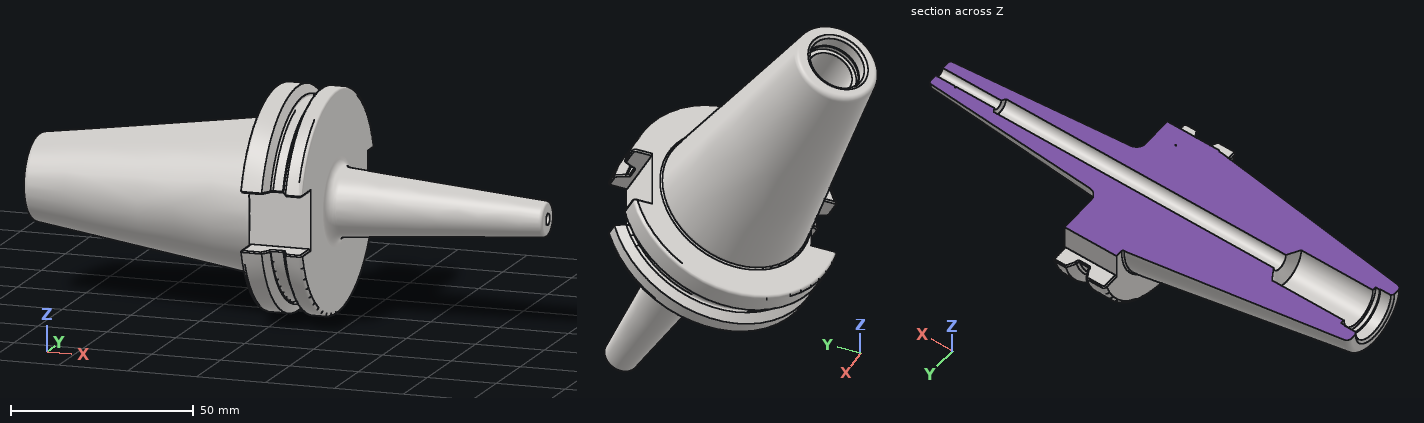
import cadquery as cq
import math


GAUGE_DIA = 44.45
TAPER_RATIO = 7 / 24
TAPER_LENGTH = 68.25
TAPER_END_DIA = GAUGE_DIA - TAPER_RATIO * TAPER_LENGTH
TAPER_END_FILLET = 1.7

FLANGE_DIA = 63.5
FLANGE_START = 1.25
FLANGE_END = 19.05
FLANGE_FILLET = 1.0
FLANGE_ROOT_FILLET = 0.5
GROOVE_CENTER = 11.0
GROOVE_FLOOR_DIA = 56.4
GROOVE_FLOOR_WIDTH = 3.8
GROOVE_FLANK_INNER_DIA = 58.1
GROOVE_FLANK_ANGLE = 30
GROOVE_FLOOR_FILLET = 0.5

SLOT_WIDTH = 16.3
SLOT_FLOOR_FRONT = 22.6
SLOT_FLOOR_BACK = 25.0
SLOT_EDGE_CHAMFER = 0.45

NOSE_END = 80.0
TIP_DIA = 10.0
NOSE_HALF_ANGLE = 4.5
NOSE_ROOT_RADIUS = TIP_DIA / 2 + (NOSE_END - FLANGE_END) * math.tan(math.radians(NOSE_HALF_ANGLE))
NOSE_ROOT_FILLET = 3.0
TIP_FILLET = 1.0

MOUTH_DIA = 18.0
MOUTH_CONE_HALF_ANGLE = 60
MOUTH_CHAMFER_DIA = 16.78
COUNTERBORE_DIA = 16.28
COUNTERBORE_DEPTH = 4.1
THREAD_MAJOR_DIA = 15.875
THREAD_MAJOR_DEPTH = 5.6
THREAD_BORE_DIA = 13.39
THREAD_BORE_DEPTH = 30.0
DRILL_POINT_ANGLE = 118
COOLANT_DIA = 5.6
TOOL_BORE_DIA = 3.17
TOOL_BORE_DEPTH = 20.0

CUT_CLEARANCE = 1.0
TOLERANCE = 0.01


def revolve_profile(points):
    """Revolve a closed (x, radius) outline about the X axis."""
    return cq.Workplane("XY").polyline(points).close().revolve(360, (0, 0, 0), (1, 0, 0))


def ring_edges(body, x, radius):
    """Select the full circular edge at the given axial position and radius."""
    reach = radius + TOLERANCE
    box = cq.selectors.BoxSelector(
        (x - TOLERANCE, -reach, -reach), (x + TOLERANCE, reach, reach), boundingbox=True
    )
    return body.edges(box).filter(lambda e: abs(e.Length() - 2 * math.pi * radius) < TOLERANCE)


def make_taper():
    body = revolve_profile([
        (-TAPER_LENGTH, 0),
        (-TAPER_LENGTH, TAPER_END_DIA / 2),
        (0, GAUGE_DIA / 2),
        (FLANGE_START, GAUGE_DIA / 2),
        (FLANGE_START, 0),
    ])
    return ring_edges(body, -TAPER_LENGTH, TAPER_END_DIA / 2).fillet(TAPER_END_FILLET)


def make_groove():
    half_floor = GROOVE_FLOOR_WIDTH / 2
    floor_radius = GROOVE_FLOOR_DIA / 2
    inner_radius = GROOVE_FLANK_INNER_DIA / 2
    outer_radius = FLANGE_DIA / 2
    half_mouth = half_floor + (outer_radius - inner_radius) * math.tan(math.radians(GROOVE_FLANK_ANGLE))
    left_floor = GROOVE_CENTER - half_floor
    right_floor = GROOVE_CENTER + half_floor
    cutter = revolve_profile([
        (left_floor, floor_radius),
        (left_floor, inner_radius),
        (GROOVE_CENTER - half_mouth, outer_radius),
        (GROOVE_CENTER - half_mouth, outer_radius + CUT_CLEARANCE),
        (GROOVE_CENTER + half_mouth, outer_radius + CUT_CLEARANCE),
        (GROOVE_CENTER + half_mouth, outer_radius),
        (right_floor, inner_radius),
        (right_floor, floor_radius),
    ])
    for x in (left_floor, right_floor):
        cutter = ring_edges(cutter, x, floor_radius).fillet(GROOVE_FLOOR_FILLET)
    return cutter


def make_slot(side, floor):
    """Slot cutter on the side (-1 or +1) of Y."""
    depth = FLANGE_DIA / 2 + CUT_CLEARANCE - floor
    return cq.Workplane("XY").box(
        FLANGE_END - FLANGE_START, depth, SLOT_WIDTH, centered=(False, True, True)
    ).translate((FLANGE_START, side * (floor + depth / 2), 0))


def is_slot_rim_edge(edge):
    """True for the edges of a slot side wall, except the one along the slot floor."""
    box = edge.BoundingBox()
    in_wall = box.zlen < TOLERANCE and abs(abs(edge.Center().z) - SLOT_WIDTH / 2) < TOLERANCE
    along_floor = box.ylen < TOLERANCE and abs(edge.Center().y) < SLOT_FLOOR_BACK + TOLERANCE
    return in_wall and not along_floor


def make_flange():
    radius = FLANGE_DIA / 2
    body = cq.Workplane("YZ").workplane(offset=FLANGE_START).circle(radius).extrude(FLANGE_END - FLANGE_START)
    body = body.edges("%CIRCLE").fillet(FLANGE_FILLET)
    body = body.cut(make_groove())
    body = body.cut(make_slot(-1, SLOT_FLOOR_FRONT))
    body = body.cut(make_slot(1, SLOT_FLOOR_BACK))
    return body.edges().filter(is_slot_rim_edge).chamfer(SLOT_EDGE_CHAMFER)


def make_nose():
    body = revolve_profile([
        (FLANGE_END, 0),
        (FLANGE_END, NOSE_ROOT_RADIUS),
        (NOSE_END, TIP_DIA / 2),
        (NOSE_END, 0),
    ])
    return ring_edges(body, NOSE_END, TIP_DIA / 2).fillet(TIP_FILLET)


def drill_point_length(large_dia, small_dia):
    """Length of the drill-point cone that joins two bore diameters."""
    return (large_dia - small_dia) / 2 / math.tan(math.radians(DRILL_POINT_ANGLE / 2))


def make_bore():
    mouth = -TAPER_LENGTH
    mouth_cone_rise = (MOUTH_DIA - MOUTH_CHAMFER_DIA) / 2
    mouth_cone_end = mouth + mouth_cone_rise / math.tan(math.radians(MOUTH_CONE_HALF_ANGLE))
    mouth_chamfer = (MOUTH_CHAMFER_DIA - COUNTERBORE_DIA) / 2
    counterbore_end = mouth + COUNTERBORE_DEPTH
    thread_chamfer = (COUNTERBORE_DIA - THREAD_MAJOR_DIA) / 2
    thread_major_end = mouth + THREAD_MAJOR_DEPTH
    thread_end = mouth + THREAD_BORE_DEPTH
    tool_bore_start = NOSE_END - TOOL_BORE_DEPTH
    return revolve_profile([
        (mouth, 0),
        (mouth, MOUTH_DIA / 2),
        (mouth_cone_end, MOUTH_CHAMFER_DIA / 2),
        (mouth_cone_end + mouth_chamfer, COUNTERBORE_DIA / 2),
        (counterbore_end, COUNTERBORE_DIA / 2),
        (counterbore_end + thread_chamfer, THREAD_MAJOR_DIA / 2),
        (thread_major_end, THREAD_MAJOR_DIA / 2),
        (thread_major_end, THREAD_BORE_DIA / 2),
        (thread_end, THREAD_BORE_DIA / 2),
        (thread_end + drill_point_length(THREAD_BORE_DIA, COOLANT_DIA), COOLANT_DIA / 2),
        (tool_bore_start - drill_point_length(COOLANT_DIA, TOOL_BORE_DIA), COOLANT_DIA / 2),
        (tool_bore_start, TOOL_BORE_DIA / 2),
        (NOSE_END, TOOL_BORE_DIA / 2),
        (NOSE_END, 0),
    ])


result = make_taper().union(make_flange()).union(make_nose())
result = ring_edges(result, FLANGE_END, NOSE_ROOT_RADIUS).fillet(NOSE_ROOT_FILLET)
result = ring_edges(result, FLANGE_START, GAUGE_DIA / 2).fillet(FLANGE_ROOT_FILLET)
result = result.cut(make_bore())